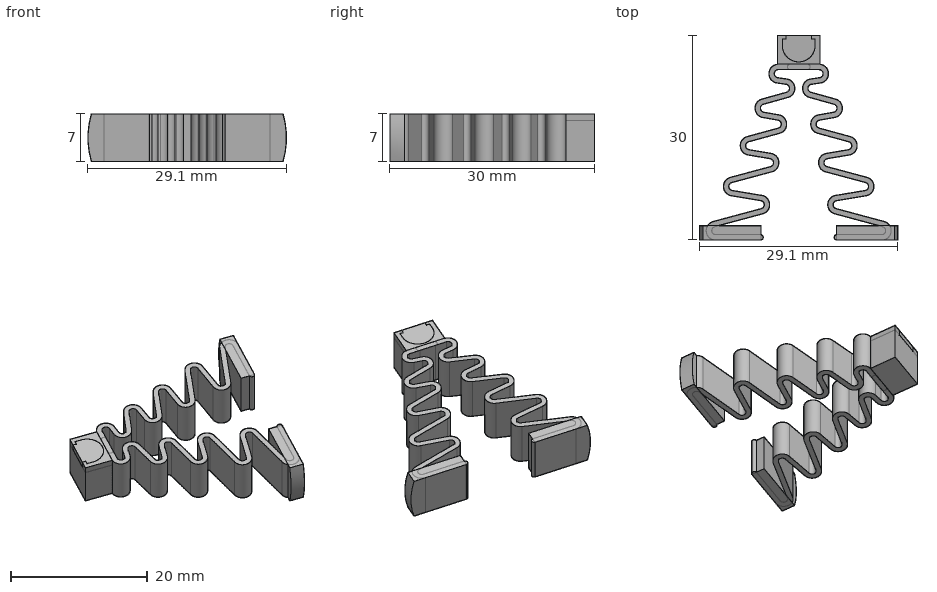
import cadquery as cq
import math

WIDTH = 29.1
DEPTH = 30.0
HEIGHT = 7.0

STRIP = 0.8
BEND_RADIUS = 1.0
OUTER_RADIUS = BEND_RADIUS + STRIP / 2
STRIP_OVERLAP = 1.25
FOOT_OVERHANG = 0.33

BLOCK_WIDTH = 6.25
BLOCK_DEPTH = 4.23
CAP_HEIGHT = 1.0
INSERT_RADIUS = 2.4
INSERT_DEPTH = 3.9
LIP_OPENING = 3.75
LIP_DEPTH = 0.55

FOOT_LENGTH = 9.03
FOOT_DEPTH = 2.13
TIP_BULGE = 0.5

BLOCK_FRONT = DEPTH - BLOCK_DEPTH
FOOT_OUTER_X = -WIDTH / 2
FOOT_INNER_X = FOOT_OUTER_X + FOOT_LENGTH

BEND_CENTRES = [
    (-12.15, OUTER_RADIUS),
    (-5.65, 5.2),
    (-9.63, 7.85),
    (-4.3, 11.35),
    (-7.17, 13.83),
    (-3.15, 17.0),
    (-5.0, 19.33),
    (-1.95, 22.25),
    (-2.97, BLOCK_FRONT - OUTER_RADIUS),
]


def point_on_bend(centre, angle):
    """Centreline point of a bend at the given polar angle."""
    return (
        centre[0] + BEND_RADIUS * math.cos(angle),
        centre[1] + BEND_RADIUS * math.sin(angle),
    )


def crossing_tangent(start, end, turn):
    """Points where the straight leg between two opposite bends leaves one and meets the other.

    turn is +1 when the first bend runs counterclockwise and -1 when it runs clockwise.
    """
    dx = end[0] - start[0]
    dy = end[1] - start[1]
    leg_angle = math.atan2(dy, dx) + turn * math.asin(2 * BEND_RADIUS / math.hypot(dx, dy))
    leave_angle = leg_angle - turn * math.pi / 2
    return point_on_bend(start, leave_angle), point_on_bend(end, leave_angle + math.pi)


def make_half_strip():
    """Left half of the zigzag strip, with its full round ends."""
    first = BEND_CENTRES[0]
    last = BEND_CENTRES[-1]
    start_x = FOOT_INNER_X + FOOT_OVERHANG - STRIP / 2
    path = cq.Workplane("XY").moveTo(start_x, first[1] - BEND_RADIUS)
    path = path.lineTo(first[0], first[1] - BEND_RADIUS)
    turn = -1
    for centre, following in zip(BEND_CENTRES, BEND_CENTRES[1:]):
        middle = (centre[0] + turn * BEND_RADIUS, centre[1])
        leg_start, leg_end = crossing_tangent(centre, following, turn)
        path = path.threePointArc(middle, leg_start).lineTo(*leg_end)
        turn = -turn
    path = path.threePointArc((last[0] - BEND_RADIUS, last[1]), (last[0], last[1] + BEND_RADIUS))
    path = path.lineTo(STRIP_OVERLAP, last[1] + BEND_RADIUS)
    return path.offset2D(STRIP / 2).extrude(HEIGHT)


def make_foot_bar():
    """Bar of the left foot, with a gently curved outer end."""
    corner_x = FOOT_OUTER_X + TIP_BULGE
    return (
        cq.Workplane("XZ")
        .moveTo(FOOT_INNER_X, 0)
        .lineTo(corner_x, 0)
        .threePointArc((FOOT_OUTER_X, HEIGHT / 2), (corner_x, HEIGHT))
        .lineTo(FOOT_INNER_X, HEIGHT)
        .close()
        .extrude(-FOOT_DEPTH)
    )


def make_foot_zone():
    """Space over the left half up to the back of the foot; the strip in it belongs to the foot."""
    zone = cq.Workplane("XY").box(WIDTH / 2, FOOT_DEPTH, HEIGHT, centered=False)
    return zone.translate((FOOT_OUTER_X, 0, 0))


def make_strip(half_strip, foot_zone):
    """Whole zigzag strip: two mirrored halves joined with their seams kept, ending at the feet."""
    half = half_strip.cut(foot_zone)
    return half.union(half.mirror("YZ"), clean=False)


def make_foot(half_strip, foot_zone):
    """Left foot: the bar together with the strip end set into it, seams kept."""
    strip_end = half_strip.intersect(foot_zone)
    return make_foot_bar().union(strip_end, clean=False)


def make_insert():
    """Round-fronted insert, flush with the top and back of the block, narrowed by the lips."""
    round_y = DEPTH - INSERT_DEPTH + INSERT_RADIUS
    lip_y = DEPTH - LIP_DEPTH
    return (
        cq.Workplane("XY", origin=(0, 0, HEIGHT - CAP_HEIGHT))
        .moveTo(-INSERT_RADIUS, round_y)
        .threePointArc((0, DEPTH - INSERT_DEPTH), (INSERT_RADIUS, round_y))
        .lineTo(INSERT_RADIUS, lip_y)
        .lineTo(LIP_OPENING / 2, lip_y)
        .lineTo(LIP_OPENING / 2, DEPTH)
        .lineTo(-LIP_OPENING / 2, DEPTH)
        .lineTo(-LIP_OPENING / 2, lip_y)
        .lineTo(-INSERT_RADIUS, lip_y)
        .close()
        .extrude(CAP_HEIGHT)
    )


def make_block(insert):
    """Block in two layers with a pocket for the insert in the top one, seam kept."""
    base_height = HEIGHT - CAP_HEIGHT
    centre_y = BLOCK_FRONT + BLOCK_DEPTH / 2
    base = (
        cq.Workplane("XY")
        .center(0, centre_y)
        .rect(BLOCK_WIDTH, BLOCK_DEPTH)
        .extrude(base_height)
    )
    cap = (
        cq.Workplane("XY", origin=(0, 0, base_height))
        .center(0, centre_y)
        .rect(BLOCK_WIDTH, BLOCK_DEPTH)
        .extrude(CAP_HEIGHT)
    )
    return base.union(cap.cut(insert), clean=False)


half_strip = make_half_strip()
foot_zone = make_foot_zone()
strip = make_strip(half_strip, foot_zone)
left_foot = make_foot(half_strip, foot_zone)
feet = [left_foot, left_foot.mirror("YZ")]
insert = make_insert()
block = make_block(insert)

result = cq.Compound.makeCompound(
    [strip.val(), *[foot.val() for foot in feet], block.val(), insert.val()]
)